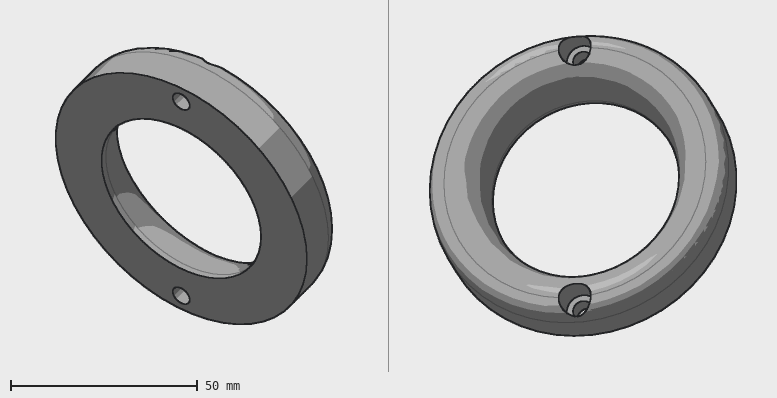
import cadquery as cq

outer_radius = 41.0
bore_radius = 26.0
thickness = 15.6
outer_wall_height = 10.0
bore_wall_height = 1.9

crest_radius = 36.0
screw_hole_diameter = 5.5
counterbore_diameter = 8.85
counterbore_floor = 5.6


def make_ring():
    """Revolve a section whose two quarter ellipses meet at the crest."""
    outer_width = outer_radius - crest_radius
    outer_rise = thickness - outer_wall_height
    inner_width = crest_radius - bore_radius
    inner_rise = thickness - bore_wall_height
    section = (
        cq.Workplane("XY")
        .moveTo(bore_radius, 0)
        .lineTo(outer_radius, 0)
        .lineTo(outer_radius, outer_wall_height)
        .ellipseArc(outer_width, outer_rise, 0, 90, startAtCurrent=True)
        .ellipseArc(inner_width, inner_rise, 90, 180, startAtCurrent=True)
        .close()
    )
    return section.revolve(360, (0, 0, 0), (0, 1, 0))


def make_screw_hole(z_position):
    """Through hole with a counterbore entering from the domed face."""
    center = cq.Vector(0, 0, z_position)
    direction = cq.Vector(0, 1, 0)
    through = cq.Solid.makeCylinder(screw_hole_diameter / 2, thickness, center, direction)
    counterbore = cq.Solid.makeCylinder(
        counterbore_diameter / 2,
        thickness - counterbore_floor,
        center + direction * counterbore_floor,
        direction,
    )
    return cq.Workplane(through).union(cq.Workplane(counterbore))


result = make_ring()
for hole_z in (-crest_radius, crest_radius):
    result = result.cut(make_screw_hole(hole_z))